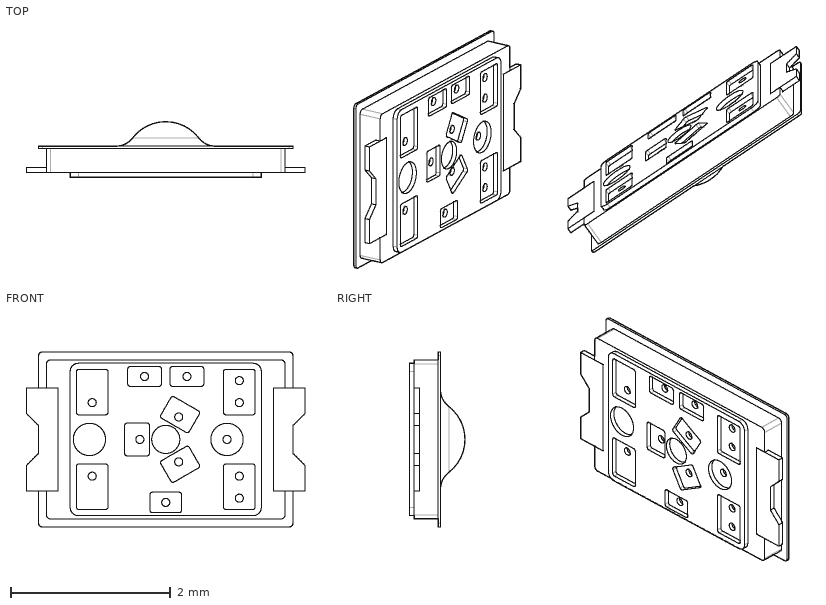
import cadquery as cq
import math


total_length = 3.5
total_depth = 0.7

housing_length = 3.0
housing_height = 2.0
housing_depth = 0.3
housing_corner = 0.052
pad_length = 2.4
pad_height = 1.915
pad_depth = 0.06
pad_corner = 0.1

film_length = 3.2
film_height = 2.2
film_thickness = 0.03
film_corner = 0.05
dome_radius = 0.525
dome_blend_radius = 0.262
dome_height = total_depth - pad_depth - housing_depth - film_thickness

terminal_length = 0.4
terminal_height = 1.3
terminal_thickness = 0.065
notch_depth = 0.15
notch_floor_height = 0.35
notch_mouth_height = notch_floor_height + 2 * notch_depth

pocket_depth = pad_depth
pocket_corner = 0.03
hole_diameter = 0.1
hole_depth = 0.05

corner_pocket_width = 0.4
corner_pocket_height = 0.57
corner_pocket_x = 0.925
corner_pocket_z = 0.595
corner_hole_z = 0.462
outer_hole_z = 0.74

top_pocket_width = 0.425
top_pocket_height = 0.25
top_pocket_x = 0.265
bottom_pocket_width = 0.4
bottom_pocket_height = 0.255
edge_pocket_z = 0.79

ring_pocket_count = 3
ring_pocket_width = 0.31
ring_pocket_height = 0.413
ring_pocket_radius = 0.36
ring_hole_radius = 0.325
ring_start_angle = 180.0

centre_recess_diameter = 0.355
side_recess_diameter = 0.405
left_recess_x = -0.96
right_recess_x = 0.77

pad_face_y = -pad_depth
pocket_floor_y = pad_face_y + pocket_depth
film_front_y = housing_depth
film_back_y = film_front_y + film_thickness


def face_plane(y):
    """XZ sketch plane at height y, extruding toward +Y (its local y is -Z)."""
    return cq.Workplane(cq.Plane(origin=(0, y, 0), xDir=(1, 0, 0), normal=(0, 1, 0)))


def rounded_plate(length, height, depth, corner, y):
    """Plate centred on the Y axis, from y to y + depth, with rounded corners."""
    return face_plane(y).rect(length, height).extrude(depth).edges("|Y").fillet(corner)


def pocket(width, height, x, z):
    """Cutter for a rectangular pocket in the pad face."""
    return rounded_plate(width, height, pocket_depth, pocket_corner, pad_face_y).translate((x, 0, z))


def round_recess(diameter, x):
    """Cutter for a round pocket in the pad face, on the X axis."""
    return face_plane(pad_face_y).circle(diameter / 2).extrude(pocket_depth).translate((x, 0, 0))


def pin_hole(x, z):
    """Cutter for a small blind hole in a pocket floor."""
    return face_plane(pocket_floor_y).circle(hole_diameter / 2).extrude(hole_depth).translate((x, 0, z))


def corner_pockets():
    cutters = []
    for side_x in (-1, 1):
        for side_z in (-1, 1):
            x = side_x * corner_pocket_x
            cutters.append(
                pocket(corner_pocket_width, corner_pocket_height, x, side_z * corner_pocket_z)
            )
            cutters.append(pin_hole(x, side_z * corner_hole_z))
            if side_x > 0:
                cutters.append(pin_hole(x, side_z * outer_hole_z))
    return cutters


def edge_pockets():
    cutters = [
        pocket(bottom_pocket_width, bottom_pocket_height, 0, -edge_pocket_z),
        pin_hole(0, -edge_pocket_z),
    ]
    for x in (-top_pocket_x, top_pocket_x):
        cutters.append(pocket(top_pocket_width, top_pocket_height, x, edge_pocket_z))
        cutters.append(pin_hole(x, edge_pocket_z))
    return cutters


def ring_pockets():
    """Pockets with one hole each, evenly spaced around the Y axis."""
    cutters = []
    for i in range(ring_pocket_count):
        angle = ring_start_angle + i * 360.0 / ring_pocket_count
        cutters.append(
            pocket(ring_pocket_width, ring_pocket_height, ring_pocket_radius, 0)
            .rotate((0, 0, 0), (0, 1, 0), angle)
        )
        cutters.append(pin_hole(ring_hole_radius, 0).rotate((0, 0, 0), (0, 1, 0), angle))
    return cutters


def round_recesses():
    return [
        round_recess(centre_recess_diameter, 0),
        round_recess(side_recess_diameter, left_recess_x),
        round_recess(side_recess_diameter, right_recess_x),
        pin_hole(right_recess_x, 0),
    ]


def make_terminal(side):
    """Flat terminal with a notched outer edge; side is -1 for -X and +1 for +X."""
    outer_x = side * total_length / 2
    inner_x = side * (total_length / 2 - terminal_length)
    notch_x = side * (total_length / 2 - notch_depth)
    half_height = terminal_height / 2
    half_mouth = notch_mouth_height / 2
    half_floor = notch_floor_height / 2
    outline = [
        (inner_x, -half_height),
        (outer_x, -half_height),
        (outer_x, -half_mouth),
        (notch_x, -half_floor),
        (notch_x, half_floor),
        (outer_x, half_mouth),
        (outer_x, half_height),
        (inner_x, half_height),
    ]
    return face_plane(0).polyline(outline).close().extrude(terminal_thickness)


def make_housing(terminals):
    """Block with its pocketed pad; the terminals sit flush in matching recesses."""
    block = rounded_plate(housing_length, housing_height, housing_depth, housing_corner, 0)
    pad = rounded_plate(pad_length, pad_height, pad_depth, pad_corner, pad_face_y)
    body = block.union(pad)
    for cutter in corner_pockets() + edge_pockets() + ring_pockets() + round_recesses() + terminals:
        body = body.cut(cutter)
    return body


def make_film():
    """Thin sheet with a spherical dome that blends into it through a concave arc."""
    sheet = rounded_plate(film_length, film_height, film_thickness, film_corner, film_front_y)

    dome_centre_y = film_back_y + dome_height - dome_radius
    blend_centre_y = film_back_y + dome_blend_radius
    centre_distance = dome_radius + dome_blend_radius
    tilt = math.acos((blend_centre_y - dome_centre_y) / centre_distance)
    foot_radius = centre_distance * math.sin(tilt)

    def on_dome(angle):
        return (dome_radius * math.sin(angle), dome_centre_y + dome_radius * math.cos(angle))

    def on_blend(angle):
        return (
            foot_radius - dome_blend_radius * math.sin(angle),
            blend_centre_y - dome_blend_radius * math.cos(angle),
        )

    dome = (
        cq.Workplane(cq.Plane(origin=(0, 0, 0), xDir=(-1, 0, 0), normal=(0, 0, -1)))
        .moveTo(0, film_front_y)
        .lineTo(0, film_back_y + dome_height)
        .threePointArc(on_dome(tilt / 2), on_dome(tilt))
        .threePointArc(on_blend(tilt / 2), (foot_radius, film_back_y))
        .lineTo(foot_radius, film_front_y)
        .close()
        .revolve(360, (0, 0, 0), (0, 1, 0))
    )
    return sheet.union(dome)


terminals = [make_terminal(side) for side in (-1, 1)]
housing = make_housing(terminals)
film = make_film()

result = cq.Compound.makeCompound(
    [housing.val(), film.val(), *[terminal.val() for terminal in terminals]]
)